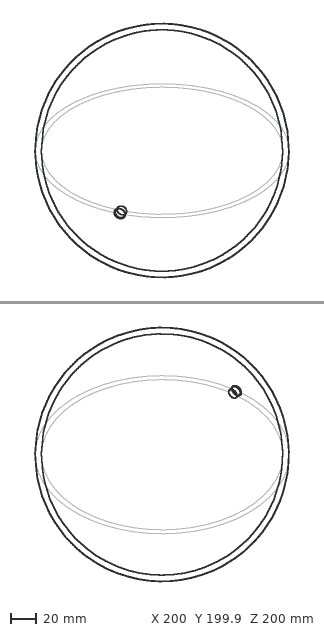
import cadquery as cq

outer_diameter = 200.0
wall = 5.0
hole_diameter = 8.0
mouth_diameter = 9.2

outer_radius = outer_diameter / 2
inner_radius = outer_radius - wall
hole_radius = hole_diameter / 2
mouth_radius = mouth_diameter / 2
chamfer = mouth_radius - hole_radius


def half_ball(radius):
    """Solid half ball standing on the XY plane."""
    diagonal = radius * 0.5**0.5
    quarter_disc = (
        cq.Workplane("XZ")
        .lineTo(-radius, 0)
        .threePointArc((-diagonal, diagonal), (0, radius))
        .close()
    )
    return quarter_disc.revolve(360, (0, 0), (0, 1))


def hole_cutter():
    """Round cutter along -Y that flares at 45 degrees where it leaves the sphere."""
    mouth_distance = (outer_radius**2 - mouth_radius**2) ** 0.5
    flare_start = mouth_distance - chamfer
    flare_length = 2 * mouth_radius
    profile = (
        cq.Workplane("XY")
        .lineTo(hole_radius, 0)
        .lineTo(hole_radius, -flare_start)
        .lineTo(hole_radius + flare_length, -flare_start - flare_length)
        .lineTo(0, -flare_start - flare_length)
        .close()
    )
    return profile.revolve(360, (0, 0), (0, 1))


upper_shell = half_ball(outer_radius).cut(half_ball(inner_radius)).cut(hole_cutter())

lower_shell = upper_shell.mirror("XY")
result = upper_shell.union(lower_shell, clean=False)